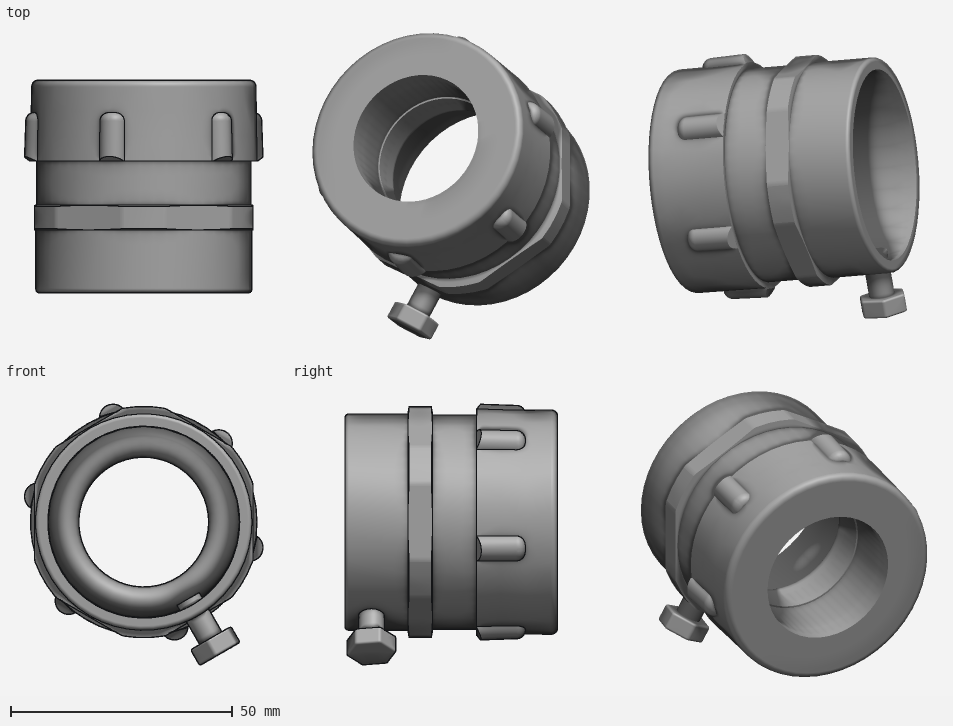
import cadquery as cq
import math

LENGTH = 48.0
HEXAGON_SIDES = 6

SOCKET_OUTER_RADIUS = 48.8 / 2
SOCKET_MOUTH_RADIUS = 43.3 / 2
SOCKET_BOTTOM_RADIUS = 43.1 / 2
SOCKET_RIM_FILLET = 0.9
NECK_RADIUS = 48.4 / 2
THROAT_RADIUS = 29.2 / 2
LIP_RADIUS = (SOCKET_BOTTOM_RADIUS - THROAT_RADIUS) / 2
LIP_CENTER_RADIUS = THROAT_RADIUS + LIP_RADIUS
LIP_CENTER_Y = 23.7
HOUSING_END_Y = 32.0

COLLAR_FRONT_Y = 14.2
COLLAR_BACK_Y = 19.8
COLLAR_ACROSS_FLATS = 49.3
COLLAR_TURN = 30.0
COLLAR_CORNER_RADIUS = 26.1
COLLAR_CORNER_BLEND = 3.0
COLLAR_BEVEL_DEPTH = 0.3

CAP_FRONT_Y = 29.7
CAP_FRONT_RADIUS = 51.1 / 2
CAP_TAPER = 0.8
CAP_BORE_RADIUS = 30.0 / 2
CAP_BACK_FILLET = 1.5

RIB_COUNT = 6
RIB_FIRST_ANGLE = 46.4
RIB_RADIUS = 3.05
RIB_CENTER_RADIUS = 24.57
RIB_BACK_Y = 40.7
RIB_TILT = 2.0
RIB_BACK_FILLET = 2.0
RIB_BEVEL_LENGTH = 1.1
RIB_BEVEL_HEIGHT = 2.0

SCREW_ANGLE = -60.0
SCREW_Y = 6.0
SCREW_RADIUS = 5.8 / 2
SCREW_TIP = 20.0
SCREW_HEAD_START = 30.2
SCREW_HEAD_END = 34.35
SCREW_HEAD_ACROSS_FLATS = 9.9
SCREW_HEAD_TURN = 9.0
SCREW_HEAD_CORNER_FILLET = 0.9
SCREW_HEAD_EDGE_FILLET = 0.5


def revolve_about_y(profile):
    """Turn a closed profile of (radius, Y) coordinates once around the Y axis."""
    return profile.revolve(360, (0, 0, 0), (0, 1, 0))


def turn_to(body, angle):
    """Swing a body built along +X to an angle measured from +X toward +Z."""
    return body.rotate((0, 0, 0), (0, 1, 0), -angle)


def corner_to_corner(across_flats):
    return across_flats / math.cos(math.pi / HEXAGON_SIDES)


def cylinder_along_y(radius, start, end):
    return cq.Workplane("XZ", origin=(0, start, 0)).circle(radius).extrude(start - end)


def make_cap_blank():
    """Solid tapered plug with the outer shape of the cap."""
    length = LENGTH - CAP_FRONT_Y
    back_radius = CAP_FRONT_RADIUS - length * math.tan(math.radians(CAP_TAPER))
    profile = (
        cq.Workplane("XY")
        .moveTo(0, CAP_FRONT_Y)
        .lineTo(CAP_FRONT_RADIUS, CAP_FRONT_Y)
        .lineTo(back_radius, LENGTH)
        .lineTo(0, LENGTH)
        .close()
    )
    return revolve_about_y(profile).faces(">Y").edges().fillet(CAP_BACK_FILLET)


def make_cap(cap_blank):
    """Cap with a socket for the neck of the housing and a smaller bore through its back."""
    socket = cylinder_along_y(NECK_RADIUS, CAP_FRONT_Y, HOUSING_END_Y)
    bore = cylinder_along_y(CAP_BORE_RADIUS, HOUSING_END_Y, LENGTH)
    return cap_blank.cut(socket).cut(bore)


def make_collar():
    """Hexagon with rounded corners, its faces bevelled outward from the flats."""
    width = COLLAR_BACK_Y - COLLAR_FRONT_Y
    hexagon = (
        cq.Workplane("XZ", origin=(0, COLLAR_FRONT_Y, 0))
        .transformed(rotate=(0, 0, COLLAR_TURN))
        .polygon(HEXAGON_SIDES, corner_to_corner(COLLAR_ACROSS_FLATS))
        .extrude(-width)
    )
    round_disc = cylinder_along_y(COLLAR_CORNER_RADIUS, COLLAR_FRONT_Y, COLLAR_BACK_Y)
    blended = hexagon.intersect(round_disc).edges("|Y").fillet(COLLAR_CORNER_BLEND)
    bevel_limit = (
        cq.Workplane("XY")
        .moveTo(0, COLLAR_FRONT_Y)
        .lineTo(SOCKET_OUTER_RADIUS, COLLAR_FRONT_Y)
        .lineTo(COLLAR_CORNER_RADIUS, COLLAR_FRONT_Y + COLLAR_BEVEL_DEPTH)
        .lineTo(COLLAR_CORNER_RADIUS, COLLAR_BACK_Y - COLLAR_BEVEL_DEPTH)
        .lineTo(SOCKET_OUTER_RADIUS, COLLAR_BACK_Y)
        .lineTo(0, COLLAR_BACK_Y)
        .close()
    )
    return blended.intersect(revolve_about_y(bevel_limit))


def make_housing(screw):
    """Sleeve with a tapered socket that ends in a rounded lip around the throat."""
    lip_crest = (LIP_CENTER_RADIUS, LIP_CENTER_Y - LIP_RADIUS)
    mid_collar_y = (COLLAR_FRONT_Y + COLLAR_BACK_Y) / 2
    profile = (
        cq.Workplane("XY")
        .moveTo(SOCKET_MOUTH_RADIUS, 0)
        .lineTo(SOCKET_OUTER_RADIUS, 0)
        .lineTo(SOCKET_OUTER_RADIUS, mid_collar_y)
        .lineTo(NECK_RADIUS, mid_collar_y)
        .lineTo(NECK_RADIUS, HOUSING_END_Y)
        .lineTo(THROAT_RADIUS, HOUSING_END_Y)
        .lineTo(THROAT_RADIUS, LIP_CENTER_Y)
        .threePointArc(lip_crest, (SOCKET_BOTTOM_RADIUS, LIP_CENTER_Y))
        .close()
    )
    outer_rim = cq.selectors.RadiusNthSelector(-1)
    sleeve = revolve_about_y(profile).faces("<Y").edges(outer_rim).fillet(SOCKET_RIM_FILLET)
    collar_ring = make_collar().cut(cylinder_along_y(SOCKET_MOUTH_RADIUS, COLLAR_FRONT_Y, COLLAR_BACK_Y))
    return sleeve.union(collar_ring).cut(screw)


def make_rib(cap_blank):
    """Tilted round bar seated on the cap, domed behind and bevelled in front."""
    pivot = (RIB_CENTER_RADIUS, CAP_FRONT_Y, 0)
    pivot_end = (RIB_CENTER_RADIUS, CAP_FRONT_Y, 1)
    bar = (
        cylinder_along_y(RIB_RADIUS, CAP_FRONT_Y - RIB_BEVEL_LENGTH, RIB_BACK_Y)
        .faces(">Y")
        .edges()
        .fillet(RIB_BACK_FILLET)
        .translate((RIB_CENTER_RADIUS, 0, 0))
        .rotate(pivot, pivot_end, RIB_TILT)
    )
    inner_radius = RIB_CENTER_RADIUS - RIB_RADIUS
    tip_radius = RIB_CENTER_RADIUS + RIB_RADIUS
    envelope = (
        cq.Workplane("XY")
        .moveTo(inner_radius, CAP_FRONT_Y)
        .lineTo(tip_radius - RIB_BEVEL_HEIGHT, CAP_FRONT_Y)
        .lineTo(tip_radius, CAP_FRONT_Y + RIB_BEVEL_LENGTH)
        .lineTo(tip_radius, RIB_BACK_Y)
        .lineTo(inner_radius, RIB_BACK_Y)
        .close()
        .extrude(RIB_RADIUS, both=True)
    )
    return bar.intersect(envelope).cut(cap_blank)


def make_screw():
    """Hexagon-headed screw pointing at the axis."""
    shank = (
        cq.Workplane("YZ", origin=(SCREW_TIP, SCREW_Y, 0))
        .circle(SCREW_RADIUS)
        .extrude(SCREW_HEAD_START - SCREW_TIP)
    )
    head = (
        cq.Workplane("YZ", origin=(SCREW_HEAD_START, SCREW_Y, 0))
        .transformed(rotate=(0, 0, SCREW_HEAD_TURN))
        .polygon(HEXAGON_SIDES, corner_to_corner(SCREW_HEAD_ACROSS_FLATS))
        .extrude(SCREW_HEAD_END - SCREW_HEAD_START)
        .edges("|X")
        .fillet(SCREW_HEAD_CORNER_FILLET)
        .faces("<X or >X")
        .edges()
        .fillet(SCREW_HEAD_EDGE_FILLET)
    )
    return turn_to(shank.union(head), SCREW_ANGLE)


screw = make_screw()
housing = make_housing(screw)
cap_blank = make_cap_blank()
cap = make_cap(cap_blank)
rib = make_rib(cap_blank)
ribs = [turn_to(rib, RIB_FIRST_ANGLE + i * 360 / RIB_COUNT) for i in range(RIB_COUNT)]

result = cq.Compound.makeCompound([housing.val(), cap.val(), screw.val(), *[bar.val() for bar in ribs]])